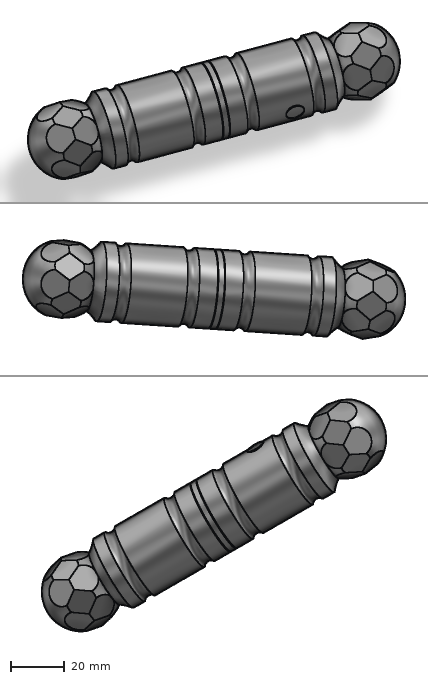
import cadquery as cq
import math

length = 145.8
barrel_diameter = 30.0
barrel_radius = barrel_diameter / 2

ball_radius = barrel_radius
facet_depth = 1.1
facet_tilt = 20
facets_per_row = 6
facet_distance = ball_radius - facet_depth
ball_centre = length / 2 - ball_radius

neck_outer = 48.0
neck_inner = 43.9
neck_sag = 0.22
groove_width = 4.5
groove_depth = 1.2
groove_centres = (10.6, 36.7)

ring_width = 2.3
ring_gap = 0.3
barrel_start = ring_width / 2 + ring_gap

button_diameter = 7.1
button_depth = 2.9
button_y = 27.1


def facet_cutter(azimuth, tilt):
    """Block that slices one flat on a ball centred at the origin."""
    size = 3 * ball_radius
    block = cq.Workplane("XY").box(size, size, size).translate((0, 0, facet_distance + size / 2))
    return block.rotate((0, 0, 0), (1, 0, 0), tilt).rotate((0, 0, 0), (0, 1, 0), azimuth)


def faceted_ball(first_azimuth):
    """Ball with flats on its equator and a pair of tilted flats between each two of them."""
    ball = cq.Workplane("XY").sphere(ball_radius)
    step = 360 / facets_per_row
    for index in range(facets_per_row):
        azimuth = first_azimuth + index * step
        ball = ball.cut(facet_cutter(azimuth, 0))
        for tilt in (-facet_tilt, facet_tilt):
            ball = ball.cut(facet_cutter(azimuth + step / 2, tilt))
    return ball.translate((0, ball_centre, 0))


def barrel():
    """Turned barrel with two round grooves and a hollow neck towards the ball."""
    neck_small_radius = math.sqrt(ball_radius**2 - (ball_centre - neck_outer) ** 2)
    neck_run = neck_outer - neck_inner
    neck_rise = barrel_radius - neck_small_radius
    neck_chord = math.hypot(neck_run, neck_rise)
    neck_middle = (
        (neck_small_radius + barrel_radius) / 2 - neck_sag * neck_run / neck_chord,
        (neck_inner + neck_outer) / 2 - neck_sag * neck_rise / neck_chord,
    )
    profile = cq.Workplane("XY").moveTo(0, barrel_start).lineTo(barrel_radius, barrel_start)
    for centre in groove_centres:
        profile = profile.lineTo(barrel_radius, centre - groove_width / 2).threePointArc(
            (barrel_radius - groove_depth, centre), (barrel_radius, centre + groove_width / 2)
        )
    profile = (
        profile.lineTo(barrel_radius, neck_inner)
        .threePointArc(neck_middle, (neck_small_radius, neck_outer))
        .lineTo(0, neck_outer)
        .close()
    )
    return profile.revolve(360, (0, 0, 0), (0, 1, 0))


def handle_half(first_azimuth):
    """Barrel and faceted ball in one piece, pointing along +Y."""
    return barrel().union(faceted_ball(first_azimuth))


def push_button():
    """Round button whose flat face is at the full radius of the barrel."""
    return (
        cq.Workplane("YZ", origin=(barrel_radius - button_depth, button_y, 0))
        .circle(button_diameter / 2)
        .extrude(button_depth)
    )


def spacer_ring():
    """Plain disc centred on the origin, clear of both halves."""
    return cq.Workplane("XZ").circle(barrel_radius).extrude(ring_width / 2, both=True)


button = push_button()
ring = spacer_ring()
rear_half = handle_half(30).cut(button)
front_half = handle_half(0).mirror("XZ")

result = cq.Compound.makeCompound([rear_half.val(), front_half.val(), ring.val(), button.val()])